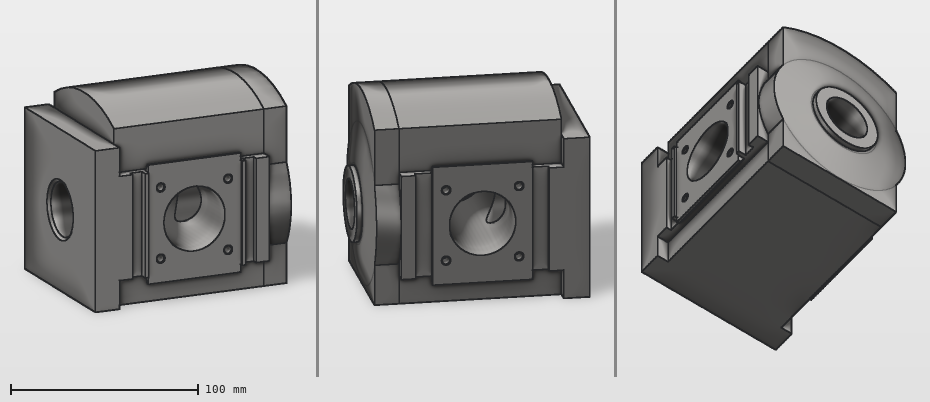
import cadquery as cq


overall_length = 122.0
flange_side = 90.0
flange_thickness = 14.2
body_length = 88.2
body_width = 76.0
crown_top = 63.8
crown_shoulder = 53.7

cap_thickness = 13.3
bulge_radius = 44.2
cone_height = 3.4
cone_top_diameter = 43.9
boss_diameter = 41.2

pad_half_height = 29.0
notch_depth = 3.0
notch_outer_y = 36.2
plate_half_length = 27.1
plate_half_height = 33.2
plate_edge = 1.5
plate_thickness = 4.0

lip_height = 1.5
lip_inner_y = 27.5
lip_outer_y = 29.5

housing_bore_diameter = 29.3
cap_bore_diameter = 27.2
inlet_diameter = 30.3
inlet_depth = 20.0
inlet_mouth_diameter = 33.4
cross_bore_diameter = 36.0

screw_diameter = 4.1
screw_mouth_diameter = 5.0
screw_depth = 9.8
screw_spacing = 39.6

half_flange = flange_side / 2
half_body = body_width / 2
flange_front_y = -overall_length / 2
body_front_y = flange_front_y + flange_thickness
body_rear_y = body_front_y + body_length
cap_rear_y = body_rear_y + cap_thickness
cone_rear_y = cap_rear_y + cone_height
boss_rear_y = overall_length / 2
pad_centre_y = (body_front_y + body_rear_y) / 2


def y_plane(y):
    """Workplane across the main bore at y, with its normal pointing toward +Y."""
    return cq.Workplane(cq.Plane(origin=(0, y, 0), xDir=(-1, 0, 0), normal=(0, 1, 0)))


def side_plane(side):
    """Workplane on the outer pad face at x = side * half_flange, with its normal pointing outward."""
    origin = (side * half_flange, pad_centre_y, 0)
    return cq.Workplane(cq.Plane(origin=origin, xDir=(0, side, 0), normal=(side, 0, 0)))


def box_between(x_range, y_range, z_range):
    """Axis-aligned box; each range holds two end values in any order."""
    sizes = [abs(b - a) for a, b in (x_range, y_range, z_range)]
    centre = tuple((a + b) / 2 for a, b in (x_range, y_range, z_range))
    return cq.Workplane("XY").box(*sizes).translate(centre)


def crowned_block(y_start, y_end):
    """Block with flat sides and bottom and an arched top."""
    return (
        y_plane(y_start)
        .moveTo(-half_body, -half_flange)
        .lineTo(half_body, -half_flange)
        .lineTo(half_body, crown_shoulder)
        .threePointArc((0, crown_top), (-half_body, crown_shoulder))
        .close()
        .extrude(y_end - y_start)
    )


def side_pad(side):
    """Raised pad that runs the full body length on one side."""
    return box_between(
        (0, side * half_flange),
        (body_front_y, body_rear_y),
        (-pad_half_height, pad_half_height),
    )


def pad_notch(side, end, inner_y):
    """Cutter for the notch between the plate and one end of the pad."""
    return box_between(
        (side * (half_flange - notch_depth), side * (half_flange + lip_height)),
        (pad_centre_y + end * inner_y, pad_centre_y + end * notch_outer_y),
        (-pad_half_height, pad_half_height),
    )


def pad_lip(end):
    """Locating lip that stands proud of the +X pad."""
    return box_between(
        (half_flange - notch_depth, half_flange + lip_height),
        (pad_centre_y + end * lip_inner_y, pad_centre_y + end * lip_outer_y),
        (-pad_half_height, pad_half_height),
    )


def mounting_plate(side):
    """Plate whose upper and lower edges overhang the pad as dovetails."""
    outer_x = side * half_flange
    edge_x = side * (half_flange - plate_edge)
    root_x = side * (half_flange - plate_thickness)
    outline = [
        (outer_x, -plate_half_height),
        (outer_x, plate_half_height),
        (edge_x, plate_half_height),
        (root_x, pad_half_height),
        (root_x, -pad_half_height),
        (edge_x, -plate_half_height),
    ]
    return (
        cq.Workplane("XZ", origin=(0, pad_centre_y, 0))
        .polyline(outline)
        .close()
        .extrude(plate_half_length, both=True)
    )


def screw_hole():
    """Cutter for one screw hole along -Z from the origin, with a 45 degree countersunk mouth."""
    mouth_depth = (screw_mouth_diameter - screw_diameter) / 2
    shank = cq.Solid.makeCylinder(screw_diameter / 2, screw_depth, dir=cq.Vector(0, 0, -1))
    mouth = cq.Solid.makeCone(
        screw_mouth_diameter / 2, screw_diameter / 2, mouth_depth, dir=cq.Vector(0, 0, -1)
    )
    return shank.fuse(mouth)


def screw_holes(side):
    """Cutter for the four screw holes of one plate."""
    return (
        side_plane(side)
        .rect(screw_spacing, screw_spacing, forConstruction=True)
        .vertices()
        .eachpoint(lambda place: screw_hole().located(place), useLocalCoordinates=True)
    )


def inlet():
    """Cutter for the stepped inlet in the flange, with a 45 degree chamfered mouth."""
    chamfer = (inlet_mouth_diameter - inlet_diameter) / 2
    bore = y_plane(flange_front_y).circle(inlet_diameter / 2).extrude(inlet_depth)
    mouth = cq.Solid.makeCone(
        inlet_mouth_diameter / 2,
        inlet_diameter / 2,
        chamfer,
        pnt=cq.Vector(0, flange_front_y, 0),
        dir=cq.Vector(0, 1, 0),
    )
    return bore.union(cq.Workplane(mouth))


def main_bore(diameter):
    """Cutter along the whole length of the part for the main bore of one body."""
    return y_plane(flange_front_y).circle(diameter / 2).extrude(overall_length)


def cross_bore():
    """Cutter for the bore that runs from plate to plate."""
    return side_plane(-1).circle(cross_bore_diameter / 2).extrude(-flange_side)


def make_housing():
    flange = y_plane(flange_front_y).rect(flange_side, flange_side).extrude(flange_thickness)
    housing = flange.union(crowned_block(body_front_y, body_rear_y))

    for side, notch_inner_y in ((-1, plate_half_length), (1, lip_outer_y)):
        housing = housing.union(side_pad(side))
        for end in (-1, 1):
            housing = housing.cut(pad_notch(side, end, notch_inner_y))
        housing = housing.union(mounting_plate(side))
        housing = housing.cut(screw_holes(side))

    for end in (-1, 1):
        housing = housing.union(pad_lip(end))

    return housing.cut(inlet()).cut(main_bore(housing_bore_diameter)).cut(cross_bore())


def make_cap():
    bulge = y_plane(body_rear_y).circle(bulge_radius).extrude(cap_thickness)
    cap = crowned_block(body_rear_y, cap_rear_y).union(bulge)

    cone = cq.Solid.makeCone(
        bulge_radius,
        cone_top_diameter / 2,
        cone_height,
        pnt=cq.Vector(0, cap_rear_y, 0),
        dir=cq.Vector(0, 1, 0),
    )
    cap = cap.union(cq.Workplane(cone))

    boss = y_plane(cone_rear_y).circle(boss_diameter / 2).extrude(boss_rear_y - cone_rear_y)
    return cap.union(boss).cut(main_bore(cap_bore_diameter))


housing = make_housing()
cap = make_cap()

result = cq.Compound.makeCompound([housing.solids().val(), cap.solids().val()])